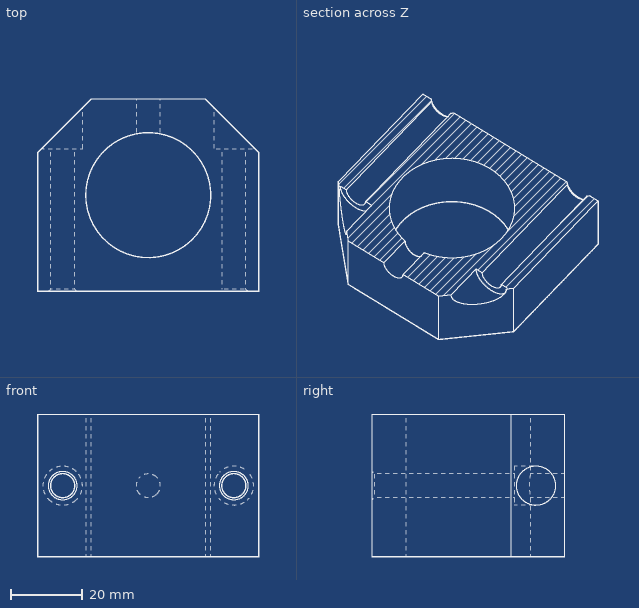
import cadquery as cq

width = 62.0
depth = 54.0
height = 40.0
corner_chamfer = 15.0

bore_diameter = 35.0

mount_offset = 24.0
mount_diameter = 6.7
countersink_diameter = 8.0
countersink_angle = 90.0
counterbore_diameter = 11.0
seat_clearance = 0.5

cross_hole_diameter = 6.7

back_y = depth / 2

counterbore_edge_x = mount_offset + counterbore_diameter / 2
breakout_y = back_y - corner_chamfer + (width / 2 - counterbore_edge_x)
seat_y = breakout_y - seat_clearance


def make_block():
    """Rectangular block with the two vertical back edges chamfered."""
    block = cq.Workplane("XY").box(width, depth, height)
    return block.faces(">Y").edges("|Z").chamfer(corner_chamfer)


def cylinder_along_y(x, diameter, start_y, end_y):
    """Cylinder at mid height, running in +Y from start_y to end_y."""
    return cq.Workplane(
        cq.Solid.makeCylinder(
            diameter / 2,
            end_y - start_y,
            cq.Vector(x, start_y, 0),
            cq.Vector(0, 1, 0),
        )
    )


def cut_bore(body):
    """Main bore through the full height."""
    return body.faces(">Z").workplane(origin=(0, 0, 0)).hole(bore_diameter)


def cut_mounting_holes(body):
    """Through holes, countersunk at the front and counterbored at the back."""
    body = (
        body.faces("<Y")
        .workplane(origin=(0, 0, 0))
        .pushPoints([(-mount_offset, 0), (mount_offset, 0)])
        .cskHole(mount_diameter, countersink_diameter, countersink_angle)
    )
    for x in (-mount_offset, mount_offset):
        body = body.cut(cylinder_along_y(x, counterbore_diameter, seat_y, back_y))
    return body


def cut_cross_hole(body):
    """Radial hole from the middle of the back face into the bore."""
    return body.cut(cylinder_along_y(0, cross_hole_diameter, 0, back_y))


result = cut_cross_hole(cut_mounting_holes(cut_bore(make_block())))